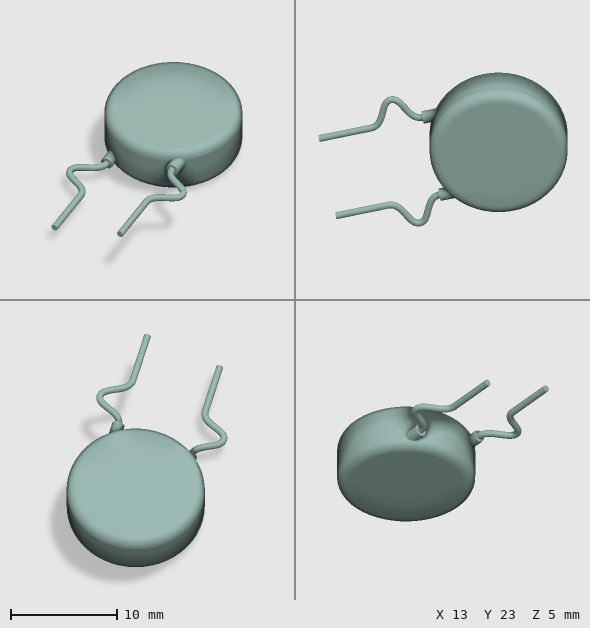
import cadquery as cq
import math

DISC_DIAMETER = 13.0
DISC_HEIGHT = 5.0
RIM_FILLET = 1.0

TOTAL_LENGTH = 23.0
LEAD_SPACING = 7.5
LEAD_STEP_Z = DISC_HEIGHT / 2
LEAD_STEP_X = math.sqrt(LEAD_SPACING**2 - LEAD_STEP_Z**2)
WIRE_DIAMETER = 0.65
KINK_WIDTH = 2.5
KINK_LENGTH = 5.0
ROOT_PULL = 1.45
PEAK_PULL = 1.1

SLEEVE_DIAMETER = 1.2

SLEEVE_END_Y = -DISC_DIAMETER / 2
LEAD_END_Y = DISC_DIAMETER / 2 - TOTAL_LENGTH

SIDES = (-1, 1)


def make_sleeve(side):
    """Round sleeve from inside the disc to level with the disc's front edge."""
    root_x = side * LEAD_STEP_X / 2
    root_z = side * LEAD_STEP_Z / 2
    return (
        cq.Workplane("XZ", origin=(root_x, 0, root_z))
        .circle(SLEEVE_DIAMETER / 2)
        .extrude(-SLEEVE_END_Y)
    )


def make_coating():
    """Round-edged disc and the two sleeves that grow out of it."""
    coating = (
        cq.Workplane("XY", origin=(0, 0, -DISC_HEIGHT / 2))
        .circle(DISC_DIAMETER / 2)
        .extrude(DISC_HEIGHT)
        .edges("%CIRCLE")
        .fillet(RIM_FILLET)
    )
    for side in SIDES:
        coating = coating.union(make_sleeve(side))
    return coating


def make_lead(side):
    """Wire with an outward kink, butted against the end face of its sleeve."""
    root_x = side * LEAD_STEP_X / 2
    root_z = side * LEAD_STEP_Z / 2
    peak_x = root_x + side * KINK_WIDTH
    peak_y = SLEEVE_END_Y - KINK_LENGTH / 2
    kink_end_y = SLEEVE_END_Y - KINK_LENGTH

    path = (
        cq.Workplane("XY", origin=(0, 0, root_z))
        .moveTo(root_x, SLEEVE_END_Y)
        .bezier([
            (root_x, SLEEVE_END_Y),
            (root_x, SLEEVE_END_Y - ROOT_PULL),
            (peak_x, peak_y + PEAK_PULL),
            (peak_x, peak_y),
        ])
        .bezier([
            (peak_x, peak_y),
            (peak_x, peak_y - PEAK_PULL),
            (root_x, kink_end_y + ROOT_PULL),
            (root_x, kink_end_y),
        ])
        .lineTo(root_x, LEAD_END_Y)
    )
    return (
        cq.Workplane("XZ", origin=(root_x, SLEEVE_END_Y, root_z))
        .circle(WIRE_DIAMETER / 2)
        .sweep(path)
    )


coating = make_coating()
leads = [make_lead(side) for side in SIDES]

result = cq.Compound.makeCompound([coating.solids().val(), *[lead.val() for lead in leads]])